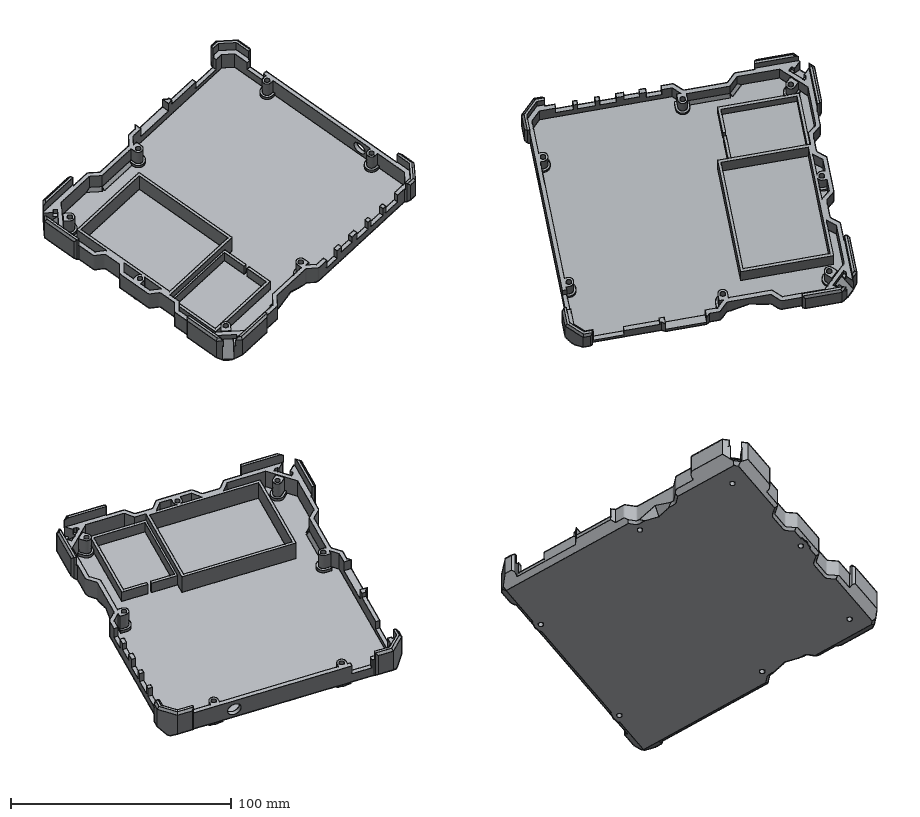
import cadquery as cq
import math

HEIGHT = 17.5
WALL_TOP = 12.2
FLOOR = 2.0
WALL = 2.0

HALF_X = 57.2
HALF_Y = 65.1
BACK_CORNER = 5.4
FRONT_CORNER = 6.8
FRONT_BLOCK = 11.1
WAIST_DEPTH = 4.0
WAIST_BACK = -3.2
WAIST_FRONT = -31.6
NOTCH_DEPTH = 4.0
NOTCH_INNER = 12.2
NOTCH_OUTER = 20.9
NOTCH_SLANT = 3.4
EDGE_ROUND = 1.4
FOOT_BEVEL = 1.2

GUARD_X = 120.0 / 2
GUARD_Y = 67.5
GUARD_BACK_CORNER = 7.0
GUARD_FRONT_CORNER = 8.4
GUARD_EDGE = 1.1
GUARD_LIP = 1.15
BACK_GUARD_X = 44.5
BACK_GUARD_Y = 55.9
FRONT_GUARD_X = 33.1
FRONT_GUARD_Y = -41.0
GUARD_FRONT_INSIDE = 0.1

BASE_X = 55.0
BASE_Y = 63.5
BASE_BACK_CORNER = 0.1
BASE_FRONT_CORNER = 1.5

BOSS_HOLE = 2.4
BOSS_DIAMETER = 4.5
BOSS_FOOT = 6.6
BOSS_FOOT_TOP = 3.6
BOSS_TOP = 12.2

BOX_WALL = 1.4
BOX_FRONT = -HALF_Y + NOTCH_DEPTH + WALL
CORNER_SPREAD = 2 - math.sqrt(2)


def block(x0, x1, y0, y1, z0, z1):
    """Box between two opposite corners."""
    return cq.Workplane("XY").box(x1 - x0, y1 - y0, z1 - z0, centered=False).translate((x0, y0, z0))


def prism(points, z0, z1):
    """Vertical prism over a closed outline."""
    return cq.Workplane("XY").workplane(offset=z0).polyline(points).close().extrude(z1 - z0)


def both_sides(shape):
    """The shape together with its mirror image across X = 0."""
    return shape.union(shape.mirror("YZ"))


def octagon(half_x, half_y, back_cut, front_cut):
    """Rectangle outline with 45 degree corner cuts."""
    right = [
        (half_x - back_cut, half_y),
        (half_x, half_y - back_cut),
        (half_x, -half_y + front_cut),
        (half_x - front_cut, -half_y),
    ]
    return right + [(-x, y) for x, y in reversed(right)]


def flared_octagon(half_x, half_y, back_cut, front_cut, z0, height, flare):
    """Octagon body whose sides all move outward by the flare from bottom to top."""
    spread = flare * CORNER_SPREAD
    top = octagon(half_x + flare, half_y + flare, back_cut + spread, front_cut + spread)
    return (
        cq.Workplane("XY").workplane(offset=z0)
        .polyline(octagon(half_x, half_y, back_cut, front_cut)).close()
        .workplane(offset=height).polyline(top).close()
        .loft(ruled=True)
    )


def wall_outline():
    right = [
        (HALF_X - BACK_CORNER, HALF_Y),
        (HALF_X, HALF_Y - BACK_CORNER),
        (HALF_X, WAIST_BACK),
        (HALF_X - WAIST_DEPTH, WAIST_BACK - WAIST_DEPTH),
        (HALF_X - WAIST_DEPTH, WAIST_FRONT + WAIST_DEPTH),
        (HALF_X, WAIST_FRONT),
        (HALF_X, -HALF_Y + FRONT_CORNER),
        (HALF_X - FRONT_CORNER, -HALF_Y),
        (NOTCH_OUTER + NOTCH_SLANT, -HALF_Y),
        (NOTCH_OUTER, -HALF_Y + NOTCH_DEPTH),
        (NOTCH_INNER, -HALF_Y + NOTCH_DEPTH),
        (NOTCH_INNER - NOTCH_SLANT, -HALF_Y),
    ]
    return right + [(-x, y) for x, y in reversed(right)]


def wall_body():
    body = prism(wall_outline(), 0, WALL_TOP)
    margin = 1.4
    notch_end = NOTCH_OUTER + NOTCH_SLANT + margin
    waist = cq.selectors.BoxSelector((-GUARD_X, WAIST_FRONT - margin, 0),
                                     (GUARD_X, WAIST_BACK + margin, HEIGHT))
    notches = cq.selectors.BoxSelector((-notch_end, -GUARD_Y, 0), (notch_end, BOX_FRONT, HEIGHT))
    for region in (waist, notches):
        body = body.edges("|Z").edges(region).fillet(EDGE_ROUND)
    return body.faces("<Z").chamfer(FOOT_BEVEL)


def corner_guards():
    shoulder = HEIGHT - GUARD_EDGE
    shell = prism(octagon(GUARD_X, GUARD_Y, GUARD_BACK_CORNER, GUARD_FRONT_CORNER), 0, shoulder)
    shell = shell.union(
        flared_octagon(GUARD_X, GUARD_Y, GUARD_BACK_CORNER, GUARD_FRONT_CORNER,
                       shoulder, GUARD_EDGE, -GUARD_EDGE)
    )
    inset = GUARD_EDGE + GUARD_LIP
    inside = octagon(GUARD_X - inset, GUARD_Y - inset,
                     GUARD_BACK_CORNER - inset * CORNER_SPREAD, GUARD_FRONT_INSIDE)
    shell = shell.cut(prism(inside, WALL_TOP, HEIGHT))

    back = prism([
        (BACK_GUARD_X, BACK_GUARD_Y),
        (GUARD_X - GUARD_EDGE, BACK_GUARD_Y),
        (GUARD_X, BACK_GUARD_Y + GUARD_EDGE),
        (GUARD_X, GUARD_Y),
        (BACK_GUARD_X + GUARD_EDGE, GUARD_Y),
        (BACK_GUARD_X, GUARD_Y - GUARD_EDGE),
    ], 0, HEIGHT)
    front = prism([
        (FRONT_GUARD_X, FRONT_GUARD_Y),
        (GUARD_X - GUARD_EDGE, FRONT_GUARD_Y),
        (GUARD_X, FRONT_GUARD_Y - GUARD_EDGE),
        (GUARD_X, -GUARD_Y),
        (FRONT_GUARD_X + GUARD_EDGE, -GUARD_Y),
        (FRONT_GUARD_X, -GUARD_Y + GUARD_EDGE),
    ], 0, HEIGHT)
    return shell.intersect(both_sides(back.union(front)))


def left_bulge():
    """Low pad on the left wall, with slanted ends."""
    out, slant, y0, y1 = 1.6, 1.6, 3.2, 22.1
    return prism([
        (-HALF_X, y0 - slant),
        (-HALF_X - out, y0),
        (-HALF_X - out, y1),
        (-HALF_X, y1 + slant),
    ], 0, WALL_TOP)


def cavity():
    inner_corner = BACK_CORNER - WALL * CORNER_SPREAD
    inside = octagon(HALF_X - WALL, HALF_Y - WALL, inner_corner, FRONT_BLOCK)
    room = (
        cq.Workplane("XY").workplane(offset=FLOOR)
        .polyline(wall_outline()).close().offset2D(-WALL, "intersection")
        .extrude(HEIGHT - FLOOR)
    )
    return room.intersect(prism(inside, FLOOR, HEIGHT))


def wall_openings():
    """Connector openings as (from, to, sill height) along each wall."""
    left = [(41.0, 55.1, 4.6), (24.6, 41.0, 9.5), (3.2, 22.1, 6.5)]
    right = [(43.0, 51.3, 7.0), (33.0, 41.2, 7.0), (23.2, 30.9, 7.0), (12.5, 19.7, 8.4), (2.3, 9.5, 6.5)]
    inner = HALF_X - WALL
    back_start, back_end, back_sill = -43.5, -33.8, 7.0
    cuts = block(back_start, back_end, HALF_Y - WALL, HALF_Y, back_sill, WALL_TOP)
    for y0, y1, sill in left:
        cuts = cuts.union(block(-GUARD_X, -inner, y0, y1, sill, WALL_TOP))
    for y0, y1, sill in right:
        cuts = cuts.union(block(inner, GUARD_X, y0, y1, sill, WALL_TOP))
    jack_x, jack_z, jack_diameter = 24.0, 6.6, 6.6
    jack = (
        cq.Workplane("XZ", origin=(jack_x, HALF_Y, jack_z))
        .circle(jack_diameter / 2).extrude(WALL)
    )
    return cuts.union(jack)


def waist_backing():
    """Sloped band along the foot of the inside of the waist."""
    width, top = 1.5, 3.8
    inner = HALF_X - WAIST_DEPTH - WALL
    overlap = 0.7
    section = [(overlap, FLOOR), (-width, FLOOR), (0, top), (overlap, top)]
    corner_y = WAIST_FRONT + WAIST_DEPTH - WALL * math.tan(math.pi / 8)
    start_y = WAIST_BACK - WAIST_DEPTH
    straight = (
        cq.Workplane("XZ").polyline(section).close().extrude(start_y - corner_y)
        .translate((inner, start_y, 0))
    )
    slanted = (
        cq.Workplane("XZ").polyline(section).close().extrude(WAIST_DEPTH * math.sqrt(2) + width)
        .rotate((0, 0, 0), (0, 0, 1), 45).translate((inner, corner_y, 0))
    )
    return both_sides(straight.union(slanted))


def waist_scoops():
    """Pointed finger scoop under each waist."""
    rise, half_width, depth = 5.3, 11.2, 3.0
    face_x = HALF_X - WAIST_DEPTH
    middle = (WAIST_BACK + WAIST_FRONT) / 2
    corners = [
        cq.Vector(face_x, middle - half_width, 0),
        cq.Vector(face_x, middle + half_width, 0),
        cq.Vector(face_x, middle, rise),
        cq.Vector(face_x - depth, middle, 0),
    ]
    faces = []
    for skipped in range(len(corners)):
        triangle = [corner for index, corner in enumerate(corners) if index != skipped]
        faces.append(cq.Face.makeFromWires(cq.Wire.makePolygon(triangle, close=True)))
    scoop = cq.Solid.makeSolid(cq.Shell.makeShell(faces))
    return both_sides(cq.Workplane(obj=scoop))


def lanyard_slots():
    """Slot through each corner block with a 45 degree floor and a wider knot pocket at its end."""
    depth, width, floor_z = 6.5, 5.3, 2.5
    head_depth, head_width = 2.2, 8.5
    head_z = floor_z + depth
    reach = 2.7
    corner_sum = GUARD_X + GUARD_Y - GUARD_FRONT_CORNER
    centre_difference = 8.2
    mouth_x = (corner_sum - centre_difference) / 2
    mouth_y = -(corner_sum + centre_difference) / 2
    slot = (
        cq.Workplane("XZ")
        .polyline([(-reach, floor_z), (0, floor_z), (depth, head_z),
                   (depth, WALL_TOP), (-reach, WALL_TOP)])
        .close().extrude(width / 2, both=True)
    )
    head = block(depth - head_depth, depth, -head_width / 2, head_width / 2, head_z, WALL_TOP)
    head = head.rotate((0, 0, 0), (0, 0, 1), 135).translate((mouth_x, mouth_y, 0))
    head = head.intersect(block(0, HALF_X - WALL, -HALF_Y + WALL, 0, 0, HEIGHT))
    slot = slot.rotate((0, 0, 0), (0, 0, 1), 135).translate((mouth_x, mouth_y, 0))
    return both_sides(slot.union(head))


BOSSES = [
    (-30.1, 61.4, 90),
    (32.7, 61.4, 90),
    (-48.9, -6.1, 180),
    (48.9, -6.1, 0),
    (-46.8, -55.6, 225),
    (46.8, -55.6, 315),
    (0, -HALF_Y + NOTCH_DEPTH, 270),
]
BOSS_WEB = 3.0


def boss(x, y, angle):
    shape = None
    for diameter, top in ((BOSS_FOOT, BOSS_FOOT_TOP), (BOSS_DIAMETER, BOSS_TOP)):
        post = cq.Workplane("XY").circle(diameter / 2).extrude(top)
        web = block(0, BOSS_WEB, -diameter / 2, diameter / 2, 0, top)
        post = post.union(web)
        shape = post if shape is None else shape.union(post)
    return shape.rotate((0, 0, 0), (0, 0, 1), angle).translate((x, y, 0))


def boss_holes():
    places = [(x, y) for x, y, angle in BOSSES]
    return cq.Workplane("XY").pushPoints(places).circle(BOSS_HOLE / 2).extrude(HEIGHT)


def open_box(x0, x1, y1, top):
    outer = block(x0, x1, BOX_FRONT, y1, 0, top)
    return outer.cut(block(x0 + BOX_WALL, x1 - BOX_WALL, BOX_FRONT + BOX_WALL, y1 - BOX_WALL, FLOOR, top))


def boxes():
    large_left, large_right, large_back = -39.7, 16.3, -16.0
    small_left, small_right, small_back, small_top = 15.9, 43.7, -21.2, 8.1
    slit_left, slit_right = 29.2, 30.9
    large = open_box(large_left, large_right, large_back, WALL_TOP)
    small = open_box(small_left, small_right, small_back, small_top)
    slit = block(slit_left, slit_right, small_back - BOX_WALL, small_back, FLOOR, WALL_TOP)
    return large.union(small.cut(slit))


bevelled_envelope = flared_octagon(BASE_X, BASE_Y, BASE_BACK_CORNER, BASE_FRONT_CORNER,
                                   0, HEIGHT, HEIGHT)

result = wall_body().union(left_bulge()).union(corner_guards()).intersect(bevelled_envelope)
result = result.cut(cavity()).cut(wall_openings())
result = result.union(boxes()).union(waist_backing())
for x, y, angle in BOSSES:
    result = result.union(boss(x, y, angle))
result = result.cut(boss_holes()).cut(waist_scoops()).cut(lanyard_slots())